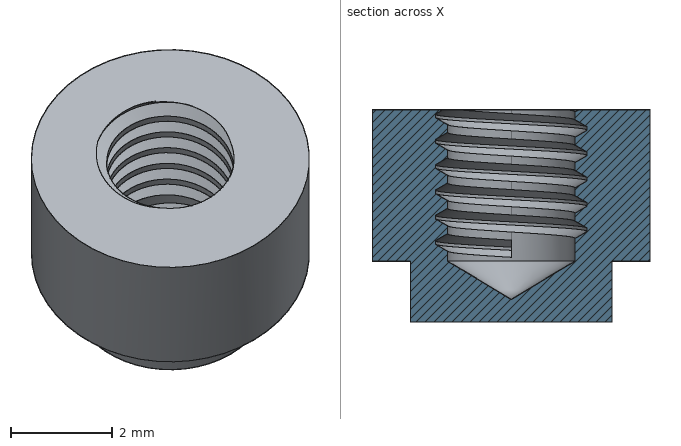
import cadquery as cq
import math

head_diameter = 5.5
spigot_diameter = 4.0
spigot_height = 1.2
total_height = 4.2

bore_diameter = 2.52
bore_depth = 3.0
drill_tip_angle = 118.0

thread_diameter = 3.0
thread_pitch = 0.5
thread_angle = 60.0
root_flat = thread_pitch / 8
thread_turns = 6
turns_above_top = 0.5
overlap = 0.055

bore_radius = bore_diameter / 2
thread_radius = thread_diameter / 2


def make_body():
    spigot = cq.Workplane("XY").circle(spigot_diameter / 2).extrude(total_height)
    head = (
        cq.Workplane("XY")
        .workplane(offset=spigot_height)
        .circle(head_diameter / 2)
        .extrude(total_height - spigot_height)
    )
    return spigot.union(head)


def make_bore():
    """Cylindrical hole ending in a conical drill tip."""
    wall_bottom = total_height - bore_depth
    tip_height = bore_radius / math.tan(math.radians(drill_tip_angle / 2))
    return (
        cq.Workplane("XZ")
        .moveTo(0, total_height)
        .lineTo(bore_radius, total_height)
        .lineTo(bore_radius, wall_bottom)
        .lineTo(0, wall_bottom - tip_height)
        .close()
        .revolve(360, (0, 0, 0), (0, 1, 0))
    )


def make_thread_groove():
    """Trapezoidal groove swept along a helix that runs out through the top face."""
    start_z = total_height + (turns_above_top - thread_turns) * thread_pitch
    inner_radius = bore_radius - overlap
    flank_rise = (thread_radius - inner_radius) * math.tan(math.radians(thread_angle / 2))
    half_root = root_flat / 2
    half_mouth = half_root + flank_rise
    helix = cq.Wire.makeHelix(
        thread_pitch, thread_turns * thread_pitch, bore_radius, center=cq.Vector(0, 0, start_z)
    )
    groove = (
        cq.Workplane("XZ")
        .moveTo(inner_radius, start_z - half_mouth)
        .lineTo(thread_radius, start_z - half_root)
        .lineTo(thread_radius, start_z + half_root)
        .lineTo(inner_radius, start_z + half_mouth)
        .close()
        .sweep(cq.Workplane(helix), isFrenet=True)
    )
    body_envelope = cq.Workplane("XY").circle(head_diameter / 2).extrude(total_height)
    bore_core = cq.Workplane("XY").circle(bore_radius).extrude(total_height + 2 * thread_pitch)
    return groove.intersect(body_envelope).cut(bore_core)


result = make_body().cut(make_bore()).cut(make_thread_groove())